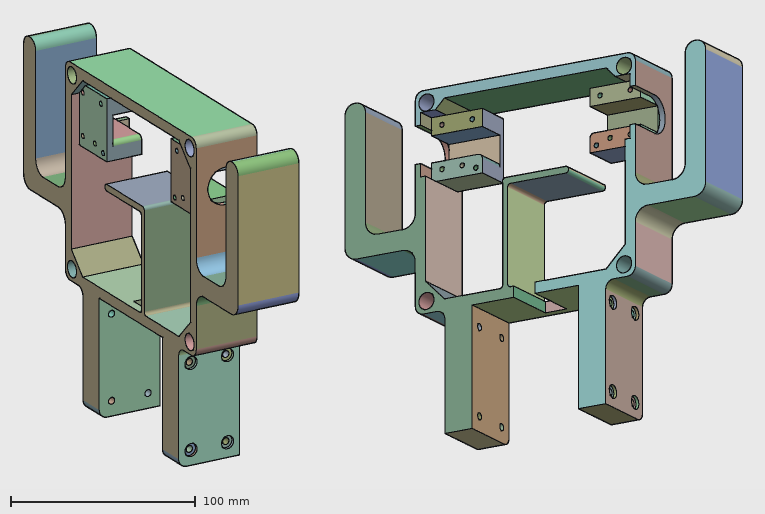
import cadquery as cq

TOTAL_WIDTH = 228.8
DEPTH = 38.2
TOTAL_HEIGHT = 196.8

FRAME_WIDTH = 139.5
FRAME_HEIGHT = 126.8
WALL = 6.5
FRAME_CORNER_RADIUS = 5.0
WINDOW_CHAMFER = 12.1
CORNER_HOLE_DIAMETER = 9.5
CORNER_HOLE_INSET = 7.0

HOOK_ARM_THICKNESS = 12.0
HOOK_UPRIGHT_THICKNESS = 13.0
HOOK_BOTTOM = 38.2
HOOK_TIP_RADIUS = 6.2
HOOK_OUTER_RADIUS = 7.3
HOOK_INNER_RADIUS = 8.0

LEG_OUTER_X = 51.0
LEG_WIDTH = 17.5
LEG_FILLET = 5.0
LEG_TOE_RADIUS = 5.0
LEG_HOLE_DIAMETER = 4.0
LEG_BORE_DIAMETER = 7.5
LEG_BORE_DEPTH = 1.8
LEG_HOLE_Y = (7.8, 30.7)
LEG_HOLE_Z = (-10.5, -61.0)

SHELF_TOP = 68.9
SHELF_LEFT = -27.5
SHELF_RIGHT = 14.5
SHELF_THICKNESS = 4.0
SHELF_POST_THICKNESS = 3.2
SHELF_EDGE_RADIUS = 1.8
SHELF_FOOT_RADIUS = 1.8

FLOOR_SLOT_LEFT = -6.2
FLOOR_SLOT_WIDTH = 13.5
FLOOR_SLOT_FRONT = 5.5

BRACKET_WIDTH = 29.3
BRACKET_BOTTOM = 78.0
BRACKET_TOP = 114.6
BRACKET_FRONT = 5.0
BRACKET_BACK = 27.0
BRACKET_PLATE = 4.0
BRACKET_SLOT_BOTTOM = 89.0
BRACKET_SLOT_TOP = 104.3
BRACKET_LUG_RADIUS = 2.7
RECESS_DEPTH = 3.0
BRACKET_HOLE_DIAMETER = 2.7
BRACKET_HOLES = ((3.7, 31.5), (22.9, 31.5), (3.7, 6.5), (16.5, 6.5), (25.2, 3.7))

WALL_SLOT_FRONT = 7.3
WALL_SLOT_HEIGHT = 21.7
WALL_SLOT_CENTRE = 96.5

FRAME_X = FRAME_WIDTH / 2
WINDOW_X = FRAME_X - WALL
WINDOW_TOP = FRAME_HEIGHT - WALL
HOOK_ARM_TOP = HOOK_BOTTOM + HOOK_ARM_THICKNESS
LEG_BOTTOM = FRAME_HEIGHT - TOTAL_HEIGHT
LEFT = -1
RIGHT = 1
SIDES = (LEFT, RIGHT)


def box(x_limits, y_limits, z_limits):
    """Box between pairs of X, Y and Z limits, each given in either order."""
    (x0, x1), (y0, y1), (z0, z1) = sorted(x_limits), sorted(y_limits), sorted(z_limits)
    return cq.Workplane("XY").box(x1 - x0, y1 - y0, z1 - z0, centered=False).translate((x0, y0, z0))


def full_depth(x_limits, z_limits):
    """Box running from the front face to the back face."""
    return box(x_limits, (0, DEPTH), z_limits)


def y_edges_at(x, z):
    """Selector for the edge along Y that passes through (x, z)."""
    reach = 0.02
    return cq.selectors.BoxSelector(
        (x - reach, -reach, z - reach), (x + reach, DEPTH + reach, z + reach), boundingbox=True
    )


def fillet_at(body, radius, places):
    """Round the edges along Y at the given (x, z) places."""
    for x, z in places:
        body = body.edges(y_edges_at(x, z)).fillet(radius)
    return body


def y_cylinders(places, diameter):
    """Cylinders along Y through the whole depth at the given (x, z) places."""
    return cq.Workplane("XZ").pushPoints(places).circle(diameter / 2).extrude(-DEPTH)


def corner_holes():
    hole_x = FRAME_X - CORNER_HOLE_INSET
    hole_z = (CORNER_HOLE_INSET, FRAME_HEIGHT - CORNER_HOLE_INSET)
    places = [(side * hole_x, z) for side in SIDES for z in hole_z]
    return y_cylinders(places, CORNER_HOLE_DIAMETER)


def window():
    opening = full_depth((-WINDOW_X, WINDOW_X), (WALL, WINDOW_TOP))
    return opening.edges("|Y").chamfer(WINDOW_CHAMFER)


def hook(side):
    outer = side * TOTAL_WIDTH / 2
    inner = outer - side * HOOK_UPRIGHT_THICKNESS
    arm = full_depth((side * WINDOW_X, outer), (HOOK_BOTTOM, HOOK_ARM_TOP))
    upright = full_depth((inner, outer), (HOOK_BOTTOM, FRAME_HEIGHT))
    body = arm.union(upright)
    body = fillet_at(body, HOOK_TIP_RADIUS, [(outer, FRAME_HEIGHT), (inner, FRAME_HEIGHT)])
    body = fillet_at(body, HOOK_OUTER_RADIUS, [(outer, HOOK_BOTTOM)])
    return fillet_at(body, HOOK_INNER_RADIUS, [(inner, HOOK_ARM_TOP)])


def leg(side):
    inner = LEG_OUTER_X - LEG_WIDTH
    column = full_depth((side * inner, side * LEG_OUTER_X), (LEG_BOTTOM, WALL))
    return column.edges("|X and <Y and <Z").fillet(LEG_TOE_RADIUS)


def leg_holes(side):
    """Screw holes through a leg in X, counterbored on its outer face."""
    places = [(y, z) for y in LEG_HOLE_Y for z in LEG_HOLE_Z]
    outer_face = cq.Workplane("YZ", origin=(side * LEG_OUTER_X, 0, 0)).pushPoints(places)
    through = outer_face.circle(LEG_HOLE_DIAMETER / 2).extrude(-side * LEG_WIDTH)
    bores = outer_face.circle(LEG_BORE_DIAMETER / 2).extrude(-side * LEG_BORE_DEPTH)
    return through.union(bores)


def shelf():
    post_left = SHELF_RIGHT - SHELF_POST_THICKNESS
    underside = SHELF_TOP - SHELF_THICKNESS
    plate = full_depth((SHELF_LEFT, SHELF_RIGHT), (underside, SHELF_TOP))
    post = full_depth((post_left, SHELF_RIGHT), (WALL / 2, SHELF_TOP))
    ends = [(SHELF_LEFT, underside), (SHELF_LEFT, SHELF_TOP), (SHELF_RIGHT, SHELF_TOP)]
    return fillet_at(plate.union(post), SHELF_EDGE_RADIUS, ends + [(post_left, underside)])


def floor_slot():
    return box(
        (FLOOR_SLOT_LEFT, FLOOR_SLOT_LEFT + FLOOR_SLOT_WIDTH), (FLOOR_SLOT_FRONT, DEPTH), (0, WALL)
    )


def wall_slot(side):
    radius = WALL_SLOT_HEIGHT / 2
    profile = (
        cq.Workplane("YZ", origin=(side * WINDOW_X, 0, 0))
        .moveTo(DEPTH, WALL_SLOT_CENTRE - radius)
        .lineTo(WALL_SLOT_FRONT + radius, WALL_SLOT_CENTRE - radius)
        .threePointArc(
            (WALL_SLOT_FRONT, WALL_SLOT_CENTRE), (WALL_SLOT_FRONT + radius, WALL_SLOT_CENTRE + radius)
        )
        .lineTo(DEPTH, WALL_SLOT_CENTRE + radius)
        .close()
    )
    return profile.extrude(side * WALL)


def bracket_x_limits(side):
    """Free end of a bracket and its end in the wall."""
    return side * (WINDOW_X - BRACKET_WIDTH), side * (WINDOW_X + RECESS_DEPTH)


def bracket_recess(side):
    """Room for a bracket, cut into the wall and open at the back."""
    return box(bracket_x_limits(side), (BRACKET_FRONT, DEPTH), (BRACKET_BOTTOM, BRACKET_TOP))


def bracket(side):
    """Drilled plate with two lugs behind it, above and below an open slot."""
    x_limits = bracket_x_limits(side)
    free_x = x_limits[0]
    block = box(x_limits, (BRACKET_FRONT, BRACKET_BACK), (BRACKET_BOTTOM, BRACKET_TOP))
    slot = box(
        x_limits, (BRACKET_FRONT + BRACKET_PLATE, BRACKET_BACK), (BRACKET_SLOT_BOTTOM, BRACKET_SLOT_TOP)
    )
    block = block.cut(slot)
    block = fillet_at(block, BRACKET_LUG_RADIUS, [(free_x, BRACKET_SLOT_BOTTOM)])
    places = [(side * (WINDOW_X - x), BRACKET_BOTTOM + z) for x, z in BRACKET_HOLES]
    return block.cut(y_cylinders(places, BRACKET_HOLE_DIAMETER))


def make_frame():
    """Frame with hooks, legs and shelf; the right bracket is part of it, the left one is separate."""
    frame = full_depth((-FRAME_X, FRAME_X), (0, FRAME_HEIGHT)).edges("|Y").fillet(FRAME_CORNER_RADIUS)
    for side in SIDES:
        frame = frame.union(hook(side)).union(leg(side))
    frame = frame.cut(window()).union(shelf())
    post_left = SHELF_RIGHT - SHELF_POST_THICKNESS
    frame = fillet_at(frame, SHELF_FOOT_RADIUS, [(post_left, WALL), (SHELF_RIGHT, WALL)])
    for side in SIDES:
        hook_roots = [(side * FRAME_X, HOOK_BOTTOM), (side * FRAME_X, HOOK_ARM_TOP)]
        frame = fillet_at(frame, HOOK_INNER_RADIUS, hook_roots)
        frame = fillet_at(frame, LEG_FILLET, [(side * LEG_OUTER_X, 0)])
        frame = frame.cut(leg_holes(side)).cut(wall_slot(side)).cut(bracket_recess(side))
    frame = frame.cut(corner_holes()).cut(floor_slot())
    return frame.union(bracket(RIGHT))


frame = make_frame()
left_bracket = bracket(LEFT)

result = cq.Compound.makeCompound([frame.val(), left_bracket.val()])